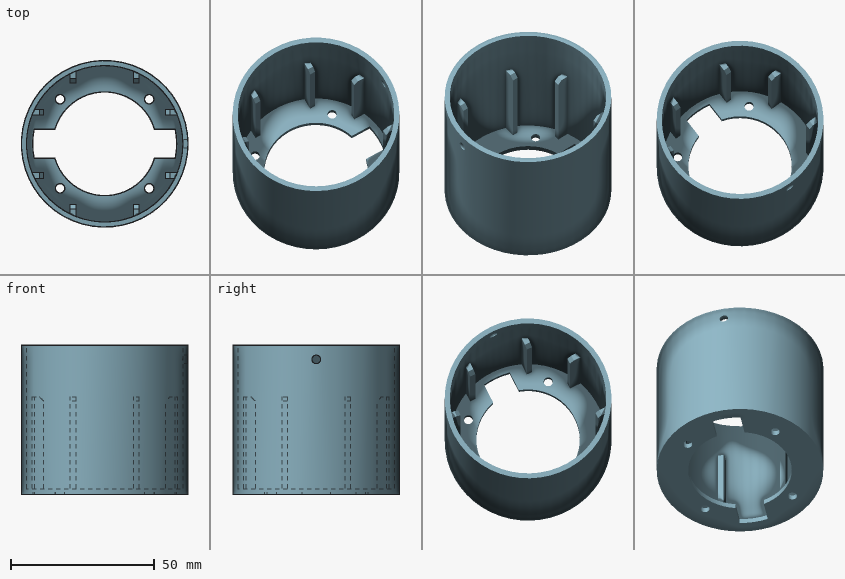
import cadquery as cq

outer_diameter = 58.0
inner_diameter = 54.4
height = 52.0
floor_thickness = 2.0

bore_diameter = 36.0
slot_width = 10.0
slot_end_diameter = 50.0
screw_hole_diameter = 3.2
screw_spacing = 31.0

rib_width = 2.0
rib_offset = 11.0
rib_tip_distance = 21.2
rib_top = 34.0
rib_chamfer = 1.5
side_count = 4

wall_hole_diameter = 3.0
wall_hole_below_rim = 5.0

outer_radius = outer_diameter / 2
inner_radius = inner_diameter / 2


def make_cup():
    body = cq.Workplane("XY").circle(outer_radius).extrude(height)
    cavity = (
        cq.Workplane("XY", origin=(0, 0, floor_thickness))
        .circle(inner_radius)
        .extrude(height - floor_thickness)
    )
    return body.cut(cavity)


def make_floor_openings():
    bore = cq.Workplane("XY").circle(bore_diameter / 2).extrude(floor_thickness)
    slot = cq.Workplane("XY").rect(outer_diameter, slot_width).extrude(floor_thickness)
    slot_ends = cq.Workplane("XY").circle(slot_end_diameter / 2).extrude(floor_thickness)
    screw_holes = (
        cq.Workplane("XY")
        .rect(screw_spacing, screw_spacing, forConstruction=True)
        .vertices()
        .circle(screw_hole_diameter / 2)
        .extrude(floor_thickness)
    )
    return bore.union(slot.intersect(slot_ends)).union(screw_holes)


def make_rib(offset):
    """Rib on the +X side at Y = offset, with its inner top edge chamfered."""
    return (
        cq.Workplane("XZ", origin=(0, offset, 0))
        .moveTo(rib_tip_distance, 0)
        .lineTo(outer_radius, 0)
        .lineTo(outer_radius, rib_top)
        .lineTo(rib_tip_distance + rib_chamfer, rib_top)
        .lineTo(rib_tip_distance, rib_top - rib_chamfer)
        .close()
        .extrude(rib_width / 2, both=True)
    )


def make_ribs():
    """All ribs, trimmed to the outer cylinder so that their roots merge with the wall."""
    pair = make_rib(rib_offset).union(make_rib(-rib_offset))
    ribs = pair
    for side in range(1, side_count):
        ribs = ribs.union(pair.rotate((0, 0, 0), (0, 0, 1), side * 360 / side_count))
    envelope = cq.Workplane("XY").circle(outer_radius).extrude(height)
    return ribs.intersect(envelope)


def make_wall_hole():
    return (
        cq.Workplane("YZ")
        .center(0, height - wall_hole_below_rim)
        .circle(wall_hole_diameter / 2)
        .extrude(outer_diameter)
    )


result = make_cup().union(make_ribs()).cut(make_floor_openings()).cut(make_wall_hole())